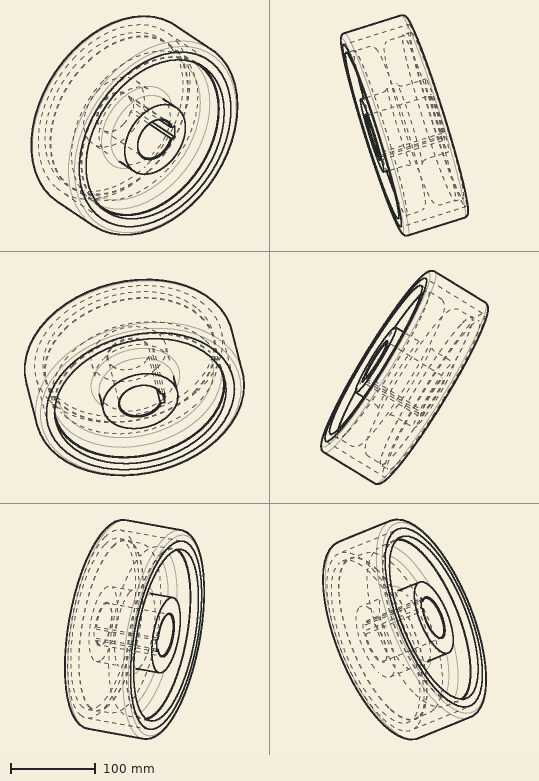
import cadquery as cq

wheel_radius = 125.0
wheel_width = 80.0
half_width = wheel_width / 2

tyre_thickness = 12.5
tyre_edge_fillet = 5.0

rim_outer_radius = wheel_radius - tyre_thickness
rim_inner_radius = 101.5
rim_mouth_radius = 102.5
rim_mouth_depth = 10.0
web_thickness = 10.0
boss_radius = 45.0
web_fillet = 8.0

bore_radius = 25.0
bore_chamfer = 1.0
keyway_width = 15.0
keyway_reach = 29.2


def disc(radius, width, start):
    """Cylinder along X that begins at X = start."""
    return cq.Workplane("YZ", origin=(start, 0, 0)).circle(radius).extrude(width)


def make_tyre():
    solid_tyre = disc(wheel_radius, wheel_width, -half_width).edges().fillet(tyre_edge_fillet)
    return solid_tyre.cut(disc(rim_outer_radius, wheel_width, -half_width))


def make_side_recess():
    """Annular recess between rim and boss on the -X side, rounded at its floor."""
    depth = half_width - web_thickness / 2
    recess = (
        cq.Workplane("YZ", origin=(-half_width, 0, 0))
        .circle(rim_inner_radius)
        .circle(boss_radius)
        .extrude(depth)
        .faces(">X")
        .edges()
        .fillet(web_fillet)
    )
    mouth = (
        cq.Workplane("YZ", origin=(-half_width, 0, 0))
        .circle(rim_mouth_radius)
        .circle(boss_radius)
        .extrude(rim_mouth_depth)
    )
    return recess.union(mouth)


def make_bore():
    """Through bore, widened by a chamfer at each end."""
    mouth_radius = bore_radius + bore_chamfer
    chamfer_start = half_width - bore_chamfer
    return (
        cq.Workplane("XY")
        .moveTo(-half_width, 0)
        .lineTo(-half_width, mouth_radius)
        .lineTo(-chamfer_start, bore_radius)
        .lineTo(chamfer_start, bore_radius)
        .lineTo(half_width, mouth_radius)
        .lineTo(half_width, 0)
        .close()
        .revolve(360, (0, 0, 0), (1, 0, 0))
    )


def make_keyway():
    return cq.Workplane("XY").box(
        wheel_width, keyway_reach, keyway_width, centered=(True, False, True)
    )


def make_hub():
    hub = disc(rim_outer_radius, wheel_width, -half_width)
    recess = make_side_recess()
    for side_recess in (recess, recess.mirror("YZ")):
        hub = hub.cut(side_recess)
    return hub.cut(make_bore()).cut(make_keyway())


tyre = make_tyre()
hub = make_hub()

result = cq.Compound.makeCompound([tyre.val(), hub.val()])